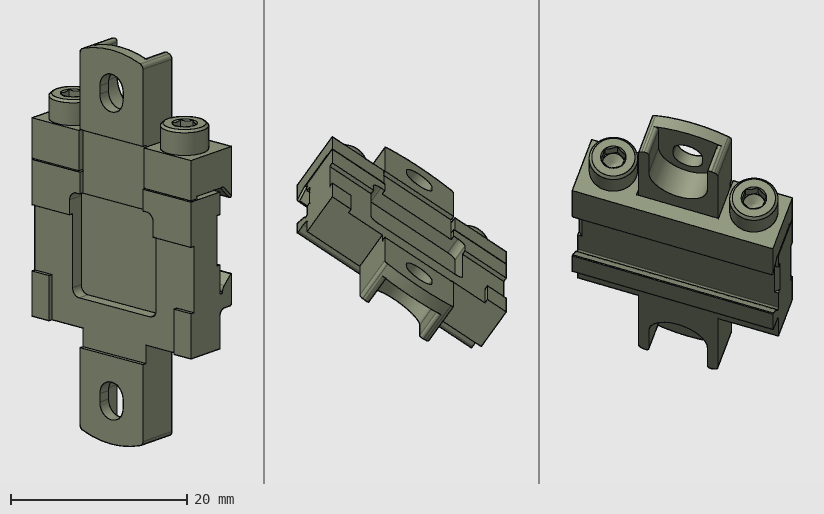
import cadquery as cq
import math

FRONT_Y = -3.5
BODY_THICKNESS = 5.0
CLAMP_DEPTH = 7.0
BODY_BACK_Y = FRONT_Y + BODY_THICKNESS
HOOK_BACK_Y = FRONT_Y + CLAMP_DEPTH
RECESS_DEPTH = 0.5
RECESSED_Y = FRONT_Y + RECESS_DEPTH

BODY_WIDTH = 24.0
WING_TOP_Z = 7.9
WING_BOTTOM_Z = -10.8
TONGUE_WIDTH = 9.5
TOTAL_HEIGHT = 47.0
TIP_Z = TOTAL_HEIGHT / 2
TAB_ROOT_Z = 13.0
TAB_END_RADIUS = 13.0
TAB_CORNER_FILLET = 0.6
FLANGE_INNER_FILLET = 0.4
EDGE_MARGIN = 0.1

SLOT_WIDTH = 3.5
SLOT_LENGTH = 4.5
SLOT_Z = 18.35
TAB_PLATE_THICKNESS = 1.5
HEAD_POCKET_RADIUS = 3.5

UPPER_PAD_BOTTOM_Z = 2.5
LOWER_PAD_TOP_Z = -5.4
LOWER_PAD_WIDTH = 2.6

POCKET_SIZE = 12.6
POCKET_TOP_Z = 5.3
POCKET_CORNER_RADIUS = 1.0
POCKET_DEPTH = 1.5
POCKET_FLOOR_Y = RECESSED_Y + POCKET_DEPTH

RELIEF_TOP_Z = 5.2
RELIEF_BOTTOM_Z = -0.8
RELIEF_CHAMFER = 0.5

JAW_TIP_FLAT = 0.15
JAW_TIP_Y = HOOK_BACK_Y - JAW_TIP_FLAT
JAW_TIP_Z = -2.3
HOOK_BOTTOM_Z = -6.1
HOOK_CORNER_RADIUS = 0.3
HOOK_ROOT_FILLET = 0.75
HOOK_NOSE_RADIUS = 1.0
UNDERCUT_WIDTH = 0.43
UNDERCUT_BOTTOM_Z = -4.3

CLAMP_TOP_Z = 12.86
CLAMP_BOTTOM_Z = 8.05
CLAMP_LIP_DEPTH = 1.0
CLAMP_LIP_HEIGHT = 0.3
CLAMP_UNDERSIDE_Z = CLAMP_BOTTOM_Z + CLAMP_LIP_HEIGHT
CLAMP_JAW_TIP_Z = 6.75
CLAMP_JAW_CHAMFER = 0.25
TONGUE_SIDE_GAP = 0.15
TONGUE_BACK_GAP = 0.2

SCREW_X = 8.4
SCREW_INSET = 3.0
SCREW_Y = FRONT_Y + SCREW_INSET
SHANK_DIAMETER = 3.0
SHANK_LENGTH = 12.0
HEAD_DIAMETER = 5.5
HEAD_HEIGHT = 3.0
HEAD_CHAMFER = 0.3
HEX_ACROSS_FLATS = 2.5
HEX_DEPTH = 1.3
HEX_HALF_ANGLE = math.pi / 6
HEX_ACROSS_CORNERS = HEX_ACROSS_FLATS / math.cos(HEX_HALF_ANGLE)
SOCKET_CONE_DIAMETER = 2.46
SOCKET_CONE_HEIGHT = SOCKET_CONE_DIAMETER / 2 * math.tan(HEX_HALF_ANGLE)


def box(x_range, y_range, z_range):
    """Box spanning the given coordinate ranges."""
    size = [high - low for low, high in (x_range, y_range, z_range)]
    corner = cq.Vector(x_range[0], y_range[0], z_range[0])
    return cq.Workplane("XY").box(*size, centered=False).translate(corner)


def centred(width):
    return (-width / 2, width / 2)


def mirrored_pair(shape):
    """The shape together with its mirror image across X = 0."""
    return shape.union(shape.mirror("YZ"))


def front_sketch(y):
    """XZ workplane at depth y, facing -Y, so negative extrusions run toward the back."""
    return cq.Workplane(cq.Plane(origin=(0, y, 0), xDir=(1, 0, 0), normal=(0, -1, 0)))


def side_sketch():
    """YZ workplane centred on the part, for profiles that run along X."""
    return cq.Workplane("YZ")


def upper_tab():
    """Upper end of the tongue: an arched plate with two flanges behind it."""
    half_width = TONGUE_WIDTH / 2
    arch_drop = TAB_END_RADIUS - math.sqrt(TAB_END_RADIUS**2 - half_width**2)
    shoulder_z = TIP_Z - arch_drop
    tab = (
        front_sketch(FRONT_Y)
        .moveTo(-half_width, TAB_ROOT_Z)
        .lineTo(-half_width, shoulder_z)
        .threePointArc((0, TIP_Z), (half_width, shoulder_z))
        .lineTo(half_width, TAB_ROOT_Z)
        .close()
        .extrude(-BODY_THICKNESS)
    )
    outer_corners = cq.selectors.BoxSelector(
        (-half_width - EDGE_MARGIN, FRONT_Y, shoulder_z - EDGE_MARGIN),
        (half_width + EDGE_MARGIN, BODY_BACK_Y, shoulder_z + EDGE_MARGIN),
    )
    tab = tab.edges("|Y").edges(outer_corners).fillet(TAB_CORNER_FILLET)

    plate_back_y = FRONT_Y + TAB_PLATE_THICKNESS
    head_pocket = (
        front_sketch(plate_back_y)
        .moveTo(-HEAD_POCKET_RADIUS, TIP_Z)
        .lineTo(-HEAD_POCKET_RADIUS, SLOT_Z)
        .threePointArc((0, SLOT_Z - HEAD_POCKET_RADIUS), (HEAD_POCKET_RADIUS, SLOT_Z))
        .lineTo(HEAD_POCKET_RADIUS, TIP_Z)
        .close()
        .extrude(-BODY_THICKNESS)
    )
    tab = tab.cut(head_pocket)
    flange_inner_edges = cq.selectors.BoxSelector(
        (-HEAD_POCKET_RADIUS - EDGE_MARGIN, plate_back_y, shoulder_z),
        (HEAD_POCKET_RADIUS + EDGE_MARGIN, BODY_BACK_Y, TIP_Z),
    )
    tab = tab.edges("|Y").edges(flange_inner_edges).fillet(FLANGE_INNER_FILLET)

    slot = (
        front_sketch(FRONT_Y)
        .center(0, SLOT_Z)
        .slot2D(SLOT_LENGTH, SLOT_WIDTH, 90)
        .extrude(-BODY_THICKNESS)
    )
    return tab.cut(slot)


def wing_pads():
    """Raised pads on both wings, two on each side."""
    pad_y = (FRONT_Y, RECESSED_Y)
    edge_x = BODY_WIDTH / 2
    upper = box((TONGUE_WIDTH / 2, edge_x), pad_y, (UPPER_PAD_BOTTOM_Z, WING_TOP_Z))
    lower = box((edge_x - LOWER_PAD_WIDTH, edge_x), pad_y, (WING_BOTTOM_Z, LOWER_PAD_TOP_Z))
    return mirrored_pair(upper.union(lower))


def front_pocket():
    pocket_z = (POCKET_TOP_Z - POCKET_SIZE, POCKET_TOP_Z)
    pocket = box(centred(POCKET_SIZE), (FRONT_Y, POCKET_FLOOR_Y), pocket_z)
    return pocket.edges("|Y").fillet(POCKET_CORNER_RADIUS)


def side_relief():
    """Triangular bars that bevel part of the back side edges."""
    edge_x = BODY_WIDTH / 2
    bar = (
        cq.Workplane("XY", origin=(0, 0, RELIEF_BOTTOM_Z))
        .moveTo(edge_x, BODY_BACK_Y)
        .lineTo(edge_x - RELIEF_CHAMFER, BODY_BACK_Y)
        .lineTo(edge_x, BODY_BACK_Y - RELIEF_CHAMFER)
        .close()
        .extrude(RELIEF_TOP_Z - RELIEF_BOTTOM_Z)
    )
    return mirrored_pair(bar)


def fixed_hook():
    """Hook with a 45 degree jaw and a narrow round-bottomed undercut."""
    nose_y = BODY_BACK_Y + UNDERCUT_WIDTH
    undercut_radius = UNDERCUT_WIDTH / 2
    diagonal = math.sqrt(0.5)
    nose_start_y = nose_y + HOOK_NOSE_RADIUS * (1 - diagonal)
    nose_start_z = JAW_TIP_Z - (JAW_TIP_Y - nose_start_y)
    nose_end_z = nose_start_z - HOOK_NOSE_RADIUS * diagonal
    undercut_centre_z = UNDERCUT_BOTTOM_Z + undercut_radius
    root_z = HOOK_BOTTOM_Z - HOOK_ROOT_FILLET
    undercut_bottom = (BODY_BACK_Y + undercut_radius, UNDERCUT_BOTTOM_Z)
    return (
        side_sketch()
        .moveTo(HOOK_BACK_Y, JAW_TIP_Z)
        .lineTo(JAW_TIP_Y, JAW_TIP_Z)
        .lineTo(nose_start_y, nose_start_z)
        .tangentArcPoint((nose_y, nose_end_z), relative=False)
        .lineTo(nose_y, undercut_centre_z)
        .threePointArc(undercut_bottom, (BODY_BACK_Y, undercut_centre_z))
        .lineTo(BODY_BACK_Y, root_z)
        .radiusArc((BODY_BACK_Y + HOOK_ROOT_FILLET, HOOK_BOTTOM_Z), HOOK_ROOT_FILLET)
        .lineTo(HOOK_BACK_Y - HOOK_CORNER_RADIUS, HOOK_BOTTOM_Z)
        .radiusArc((HOOK_BACK_Y, HOOK_BOTTOM_Z + HOOK_CORNER_RADIUS), -HOOK_CORNER_RADIUS)
        .close()
        .extrude(BODY_WIDTH / 2, both=True)
    )


def screw_shanks():
    shank_bottom_z = CLAMP_TOP_Z - SHANK_LENGTH
    return (
        cq.Workplane("XY", origin=(0, SCREW_Y, shank_bottom_z))
        .pushPoints([(-SCREW_X, 0), (SCREW_X, 0)])
        .circle(SHANK_DIAMETER / 2)
        .extrude(SHANK_LENGTH)
    )


def make_base():
    core_y = (RECESSED_Y, BODY_BACK_Y)
    wings = box(centred(BODY_WIDTH), core_y, (WING_BOTTOM_Z, WING_TOP_Z))
    tongue = box(centred(TONGUE_WIDTH), core_y, (-TAB_ROOT_Z, TAB_ROOT_Z))
    tab = upper_tab()
    body = wings.union(tongue).union(tab).union(tab.mirror("XY"))
    body = body.union(wing_pads()).cut(front_pocket()).cut(side_relief())
    return body.union(fixed_hook()).cut(screw_shanks())


def make_clamp():
    """Block that straddles the tongue, with a 45 degree jaw at the back."""
    jaw_rise = CLAMP_UNDERSIDE_Z - CLAMP_JAW_TIP_Z
    jaw_root_y = JAW_TIP_Y - jaw_rise
    lip_y = FRONT_Y + CLAMP_LIP_DEPTH
    block = (
        side_sketch()
        .moveTo(FRONT_Y, CLAMP_TOP_Z)
        .lineTo(FRONT_Y, CLAMP_BOTTOM_Z)
        .lineTo(lip_y, CLAMP_BOTTOM_Z)
        .lineTo(lip_y, CLAMP_UNDERSIDE_Z)
        .lineTo(jaw_root_y, CLAMP_UNDERSIDE_Z)
        .lineTo(JAW_TIP_Y, CLAMP_JAW_TIP_Z)
        .lineTo(HOOK_BACK_Y, CLAMP_JAW_TIP_Z)
        .lineTo(HOOK_BACK_Y, CLAMP_TOP_Z)
        .close()
        .extrude(BODY_WIDTH / 2, both=True)
    )
    jaw_middle = ((jaw_root_y + JAW_TIP_Y) / 2, (CLAMP_UNDERSIDE_Z + CLAMP_JAW_TIP_Z) / 2)
    for end_x in centred(BODY_WIDTH):
        jaw_edge = cq.selectors.NearestToPointSelector((end_x, *jaw_middle))
        block = block.edges(jaw_edge).chamfer(CLAMP_JAW_CHAMFER)

    opening_width = TONGUE_WIDTH + 2 * TONGUE_SIDE_GAP
    opening = box(
        centred(opening_width),
        (FRONT_Y, BODY_BACK_Y + TONGUE_BACK_GAP),
        (CLAMP_JAW_TIP_Z, CLAMP_TOP_Z),
    )
    return block.cut(opening).cut(screw_shanks())


def downward_cone(top_diameter, bottom_diameter, height, top_z):
    """Cone on the Z axis that narrows downward from top_z."""
    top_centre = cq.Vector(0, 0, top_z)
    down = cq.Vector(0, 0, -1)
    cone = cq.Solid.makeCone(top_diameter / 2, bottom_diameter / 2, height, top_centre, down)
    return cq.Workplane(cone)


def make_screw(x):
    """Socket head cap screw seated on top of the clamp."""
    shank = cq.Workplane("XY").circle(SHANK_DIAMETER / 2).extrude(-SHANK_LENGTH)
    head = cq.Workplane("XY").circle(HEAD_DIAMETER / 2).extrude(HEAD_HEIGHT)
    head = head.faces(">Z").edges().chamfer(HEAD_CHAMFER)
    socket_floor_z = HEAD_HEIGHT - HEX_DEPTH
    hexagon = (
        cq.Workplane("XY", origin=(0, 0, socket_floor_z))
        .polygon(6, HEX_ACROSS_CORNERS)
        .extrude(HEX_DEPTH)
    )
    hexagon = hexagon.rotate((0, 0, 0), (0, 0, 1), math.degrees(HEX_HALF_ANGLE))
    lead_in_depth = (HEX_ACROSS_CORNERS - HEX_ACROSS_FLATS) / 2
    lead_in = downward_cone(HEX_ACROSS_CORNERS, HEX_ACROSS_FLATS, lead_in_depth, HEAD_HEIGHT)
    drill_tip = downward_cone(SOCKET_CONE_DIAMETER, 0, SOCKET_CONE_HEIGHT, socket_floor_z)
    screw = head.union(shank).cut(hexagon).cut(lead_in).cut(drill_tip)
    return screw.translate((x, SCREW_Y, CLAMP_TOP_Z))


base = make_base()
clamp = make_clamp()
screws = [make_screw(x) for x in (-SCREW_X, SCREW_X)]

result = cq.Compound.makeCompound([base.val(), clamp.val(), *[screw.val() for screw in screws]])